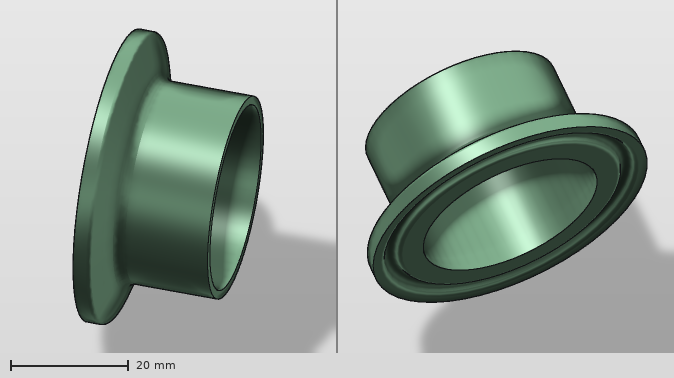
import cadquery as cq
import math

flange_radius = 50.5 / 2
tube_radius = 35.0 / 2
bore_radius = 32.0 / 2
length = 21.5

rim_width = 2.3
back_angle = 20
rim_fillet = 0.8
neck_fillet = 1.9

groove_radius = 21.75
mouth_half_width = 1.95
lip_radius = 0.8
wall_angle = 20
wall_depth = 0.45


def edges_at(x):
    """Select the circular edges centred on the X axis at the given x."""
    tolerance = 0.05
    return cq.selectors.BoxSelector(
        (x - tolerance, -flange_radius, -flange_radius),
        (x + tolerance, flange_radius, flange_radius),
    )


def make_body():
    """Revolve the flange, conical back and tube about the X axis."""
    slope = math.tan(math.radians(back_angle))
    rim_tangent = rim_fillet * math.tan(math.radians(90 - back_angle) / 2)
    rim_corner = rim_width + rim_tangent
    neck_corner = rim_corner + (flange_radius - tube_radius) * slope
    body = (
        cq.Workplane("XY")
        .moveTo(0, bore_radius)
        .lineTo(0, flange_radius)
        .lineTo(rim_corner, flange_radius)
        .lineTo(neck_corner, tube_radius)
        .lineTo(length, tube_radius)
        .lineTo(length, bore_radius)
        .close()
        .revolve(360, (0, 0, 0), (1, 0, 0))
    )
    body = body.edges(edges_at(neck_corner)).fillet(neck_fillet)
    return body.edges(edges_at(rim_corner)).fillet(rim_fillet)


def make_groove():
    """Gasket ring with rounded lips, drafted walls and a tangent round bottom."""
    draft = math.radians(wall_angle)
    lip_half_turn = (math.pi / 2 - draft) / 2

    lip_mid_depth = lip_radius * (1 - math.cos(lip_half_turn))
    lip_mid_offset = mouth_half_width - lip_radius * math.sin(lip_half_turn)
    wall_start_depth = lip_radius * (1 - math.sin(draft))
    wall_start_offset = mouth_half_width - lip_radius * math.cos(draft)
    wall_end_depth = wall_start_depth + wall_depth
    wall_end_offset = wall_start_offset - wall_depth * math.tan(draft)
    bottom_radius = wall_end_offset / math.cos(draft)
    bottom_depth = wall_end_depth + bottom_radius * (1 - math.sin(draft))

    return (
        cq.Workplane("XY")
        .moveTo(0, groove_radius - mouth_half_width)
        .threePointArc(
            (lip_mid_depth, groove_radius - lip_mid_offset),
            (wall_start_depth, groove_radius - wall_start_offset),
        )
        .lineTo(wall_end_depth, groove_radius - wall_end_offset)
        .threePointArc(
            (bottom_depth, groove_radius),
            (wall_end_depth, groove_radius + wall_end_offset),
        )
        .lineTo(wall_start_depth, groove_radius + wall_start_offset)
        .threePointArc(
            (lip_mid_depth, groove_radius + lip_mid_offset),
            (0, groove_radius + mouth_half_width),
        )
        .close()
        .revolve(360, (0, 0, 0), (1, 0, 0))
    )


result = make_body().cut(make_groove())